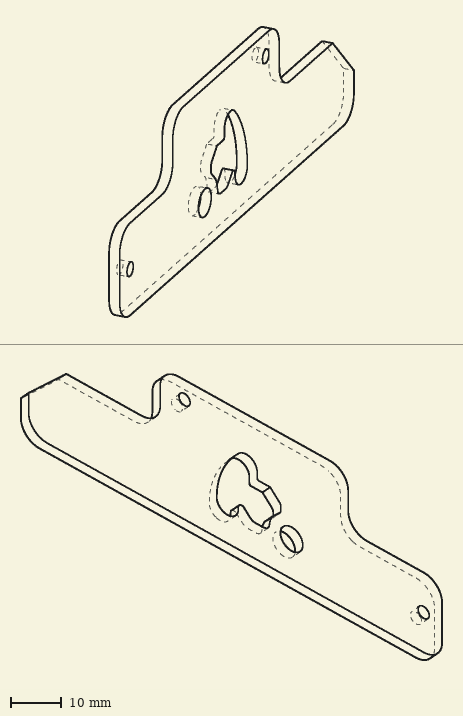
import cadquery as cq
import math

length = 110.0
height = 35.0
thickness = 2.3
strip_height = 20.0
end_chamfer = 10.0
corner_radius = 5.0
tab_start = 35.0
tab_end = 85.0

pin_hole_diameter = 3.0
pin_hole_centres = [(41.5, 30.0), (105.0, 10.0)]
pivot_along = 70.0
pivot_up = 10.0
pivot_diameter = 5.9

slot_radius = 17.0
slot_half_width = 2.9
slot_sweep = 45.0
pocket_top = 10.0
pocket_bottom = -1.0
pocket_side = -2.9
pocket_top_end = -5.7
hub_radius = 5.9
hub_angle = 150.0
ramp_foot = -10.5

notch_fillet = 0.5
side_upper_fillet = 1.5
side_lower_fillet = 0.8
hub_fillet = 1.5
ramp_fillet = 2.0
tip_fillet = 0.9


def polar(radius, degrees):
    angle = math.radians(degrees)
    return (radius * math.cos(angle), radius * math.sin(angle))


def profile_plane(along, up):
    """Plane on the -X face with its local x axis along -Y and y axis along Z."""
    origin = (-thickness / 2, length / 2 - along, up - height / 2)
    return cq.Plane(origin=origin, xDir=(0, -1, 0), normal=(-1, 0, 0))


def fillet_corner(body, plane, corner, radius):
    """Round the through-thickness edge nearest to a profile corner."""
    middle = plane.toWorldCoords((corner[0], corner[1], -thickness / 2))
    return body.edges("|X").edges(cq.selectors.NearestToPointSelector(middle.toTuple())).fillet(radius)


def make_plate():
    plane = profile_plane(0, 0)
    rounded_corners = [
        (tab_start, strip_height),
        (tab_start, height),
        (tab_end, height),
        (tab_end, strip_height),
        (length, strip_height),
        (length, 0),
        (0, 0),
    ]
    outline = [(0, end_chamfer), (end_chamfer, strip_height)] + rounded_corners
    plate = cq.Workplane(plane).polyline(outline).close().extrude(-thickness)
    for corner in rounded_corners:
        plate = fillet_corner(plate, plane, corner, corner_radius)
    return plate


def make_cutout():
    plane = profile_plane(pivot_along, pivot_up)
    outer_radius = slot_radius + slot_half_width
    inner_radius = slot_radius - slot_half_width
    top_angle = 180 - slot_sweep
    top_centre = polar(slot_radius, top_angle)
    slot_side = top_centre[0] + slot_half_width
    round_angle = top_angle / 2
    round_offset = polar(slot_half_width, round_angle)
    round_middle = (top_centre[0] + round_offset[0], top_centre[1] + round_offset[1])

    notch = (slot_side, pocket_top)
    side_upper = (pocket_side, pocket_top - (pocket_side - pocket_top_end))
    hub_start = polar(hub_radius, hub_angle)
    side_lower = (pocket_side, hub_start[1] + pocket_side - hub_start[0])
    hub_end_angle = 180 + math.degrees(math.asin(-pocket_bottom / hub_radius))
    hub_end = polar(hub_radius, hub_end_angle)
    ramp_start = (ramp_foot, pocket_bottom)

    ramp_sum = ramp_foot + pocket_bottom
    tip_angle = 45 + math.degrees(math.acos(ramp_sum / (inner_radius * math.sqrt(2))))
    tip = polar(inner_radius, tip_angle)

    cutout = (
        cq.Workplane(plane)
        .moveTo(-outer_radius, 0)
        .threePointArc(polar(outer_radius, 180 - slot_sweep / 2), polar(outer_radius, top_angle))
        .threePointArc(round_middle, (slot_side, top_centre[1]))
        .lineTo(*notch)
        .lineTo(pocket_top_end, pocket_top)
        .lineTo(*side_upper)
        .lineTo(*side_lower)
        .lineTo(*hub_start)
        .threePointArc(polar(hub_radius, (hub_angle + hub_end_angle) / 2), hub_end)
        .lineTo(*ramp_start)
        .lineTo(*tip)
        .threePointArc(polar(inner_radius, (tip_angle + 180) / 2), (-inner_radius, 0))
        .threePointArc((-slot_radius, -slot_half_width), (-outer_radius, 0))
        .close()
        .extrude(-thickness)
    )
    fillets = [
        (notch, notch_fillet),
        (side_upper, side_upper_fillet),
        (side_lower, side_lower_fillet),
        (hub_end, hub_fillet),
        (ramp_start, ramp_fillet),
        (tip, tip_fillet),
    ]
    for corner, radius in fillets:
        cutout = fillet_corner(cutout, plane, corner, radius)
    return cutout


def make_holes():
    plane = profile_plane(0, 0)
    pins = cq.Workplane(plane).pushPoints(pin_hole_centres).circle(pin_hole_diameter / 2).extrude(-thickness)
    pivot = cq.Workplane(plane).center(pivot_along, pivot_up).circle(pivot_diameter / 2).extrude(-thickness)
    return pins.union(pivot)


result = make_plate().cut(make_cutout()).cut(make_holes())